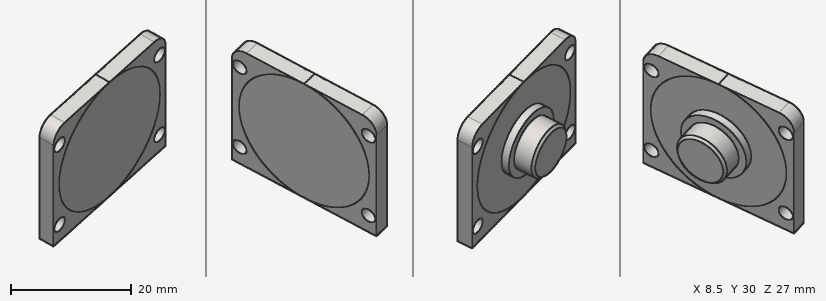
import cadquery as cq

plate_width = 30.0
plate_height = 27.0
plate_thickness = 3.0
corner_radius = 3.0

hole_diameter = 2.82
hole_spacing_y = 26.7
hole_spacing_z = 18.9
hole_center_z = -0.12

disc_diameter = plate_height
collar_diameter = 13.0
collar_length = 1.5
shaft_diameter = 10.0
shaft_length = 4.0
shaft_chamfer = 0.48


def cylinder_along_x(diameter, start_x, length):
    """Cylinder on the X axis, from start_x towards +X."""
    return cq.Workplane("YZ", origin=(start_x, 0, 0)).circle(diameter / 2).extrude(length)


def make_side_plate(side):
    """Part of the plate beside the disc: side is -1 for -Y, +1 for +Y."""
    half_width = plate_width / 2
    plate = (
        cq.Workplane("YZ", origin=(0, side * half_width / 2, 0))
        .rect(half_width, plate_height)
        .extrude(plate_thickness)
    )
    outer_edge = ">Y" if side > 0 else "<Y"
    plate = plate.faces(outer_edge).edges(">Z").fillet(corner_radius)
    holes = (
        cq.Workplane("YZ")
        .pushPoints([
            (side * hole_spacing_y / 2, hole_center_z + row * hole_spacing_z / 2)
            for row in (-1, 1)
        ])
        .circle(hole_diameter / 2)
        .extrude(plate_thickness)
    )
    return plate.cut(holes).cut(cylinder_along_x(disc_diameter, 0, plate_thickness))


def make_disc():
    """Round disc flush with the side plates, with a collar on its -X face."""
    disc = cylinder_along_x(disc_diameter, 0, plate_thickness)
    return disc.union(cylinder_along_x(collar_diameter, -collar_length, collar_length))


def make_shaft():
    """Shaft standing on the collar, chamfered at its free end."""
    shaft = cylinder_along_x(shaft_diameter, -collar_length - shaft_length, shaft_length)
    return shaft.faces("<X").chamfer(shaft_chamfer)


side_plates = [make_side_plate(side) for side in (-1, 1)]
disc = make_disc()
shaft = make_shaft()

side_plate_solids = [solid for plate in side_plates for solid in plate.solids().vals()]
result = cq.Compound.makeCompound([*side_plate_solids, disc.solids().val(), shaft.solids().val()])